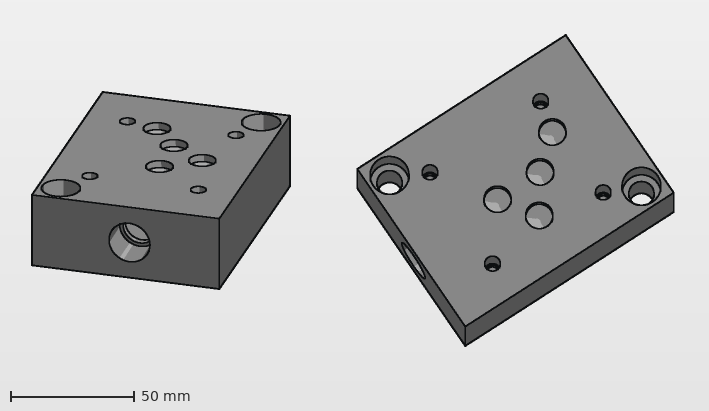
import cadquery as cq
import math

LENGTH_X = 79.3
LENGTH_Y = 101.6
HEIGHT = 31.7

DRILL_POINT_ANGLE = 118.0

MOUNT_HOLE_DIAMETER = 10.3
MOUNT_BORE_DIAMETER = 15.8
MOUNT_BORE_DEPTH = 12.2
MOUNT_X = 30.2
MOUNT_Y = 41.4

BOLT_THREAD_DIAMETER = 6.3
BOLT_THREAD_DEPTH = 12.2
BOLT_DRILL_DIAMETER = 5.1
BOLT_DRILL_DEPTH = 15.2
BOLT_SPACING_X = 45.9
BOLT_SPACING_Y = 54.0
BOLT_CENTER_X = 0.8

VALVE_PORT_DIAMETER = 11.1
VALVE_PORT_DEPTH = 3.1
PRESSURE_PORT_INSET = 6.3
WORK_PORT_INSET = 21.3
TANK_PORT_INSET = 32.5
WORK_PORT_Y = 10.4
TANK_PORT_Y = 23.8

PIPE_THREAD_DIAMETER = 17.3
PIPE_THREAD_DEPTH = 15.2
PIPE_DRILL_DIAMETER = 14.3
PIPE_DRILL_DEPTH = 18.3
LEFT_PORT_Y = 5.6
FRONT_PORT_X = 1.6

UP = cq.Vector(0, 0, 1)
RIGHT = cq.Vector(1, 0, 0)
BACK = cq.Vector(0, 1, 0)


def drilled_hole(mouth, direction, diameter, depth):
    """Blind hole with full-diameter depth and a conical drill point beyond it."""
    radius = diameter / 2
    point_length = radius / math.tan(math.radians(DRILL_POINT_ANGLE / 2))
    shank = cq.Solid.makeCylinder(radius, depth, mouth, direction)
    point = cq.Solid.makeCone(radius, 0, point_length, mouth + direction * depth, direction)
    return shank.fuse(point)


def threaded_hole(mouth, direction, thread_diameter, thread_depth, drill_diameter, drill_depth):
    """Wide threaded length with a narrower tap drill continuing below it."""
    thread = cq.Solid.makeCylinder(thread_diameter / 2, thread_depth, mouth, direction)
    return thread.fuse(drilled_hole(mouth, direction, drill_diameter, drill_depth))


block = cq.Workplane("XY").box(LENGTH_X, LENGTH_Y, HEIGHT, centered=(True, True, False))

block = (
    block.faces(">Z")
    .workplane(origin=(0, 0, HEIGHT))
    .pushPoints([(MOUNT_X, MOUNT_Y), (-MOUNT_X, -MOUNT_Y)])
    .cboreHole(MOUNT_HOLE_DIAMETER, MOUNT_BORE_DIAMETER, MOUNT_BORE_DEPTH)
)

for side_x in (-1, 1):
    for side_y in (-1, 1):
        bolt_mouth = cq.Vector(
            BOLT_CENTER_X + side_x * BOLT_SPACING_X / 2,
            side_y * BOLT_SPACING_Y / 2,
            HEIGHT,
        )
        bolt_hole = threaded_hole(
            bolt_mouth, -UP,
            BOLT_THREAD_DIAMETER, BOLT_THREAD_DEPTH,
            BOLT_DRILL_DIAMETER, BOLT_DRILL_DEPTH,
        )
        block = block.cut(cq.Workplane(bolt_hole))

bolt_column_x = BOLT_CENTER_X + BOLT_SPACING_X / 2
valve_ports = [
    (PRESSURE_PORT_INSET, 0),
    (WORK_PORT_INSET, WORK_PORT_Y),
    (WORK_PORT_INSET, -WORK_PORT_Y),
    (TANK_PORT_INSET, TANK_PORT_Y),
]
for inset, port_y in valve_ports:
    valve_mouth = cq.Vector(bolt_column_x - inset, port_y, HEIGHT)
    valve_port = drilled_hole(valve_mouth, -UP, VALVE_PORT_DIAMETER, VALVE_PORT_DEPTH)
    block = block.cut(cq.Workplane(valve_port))

pipe_ports = [
    (cq.Vector(-LENGTH_X / 2, LEFT_PORT_Y, HEIGHT / 2), RIGHT),
    (cq.Vector(FRONT_PORT_X, -LENGTH_Y / 2, HEIGHT / 2), BACK),
]
for pipe_mouth, inward in pipe_ports:
    pipe_port = threaded_hole(
        pipe_mouth, inward,
        PIPE_THREAD_DIAMETER, PIPE_THREAD_DEPTH,
        PIPE_DRILL_DIAMETER, PIPE_DRILL_DEPTH,
    )
    block = block.cut(cq.Workplane(pipe_port))

result = block